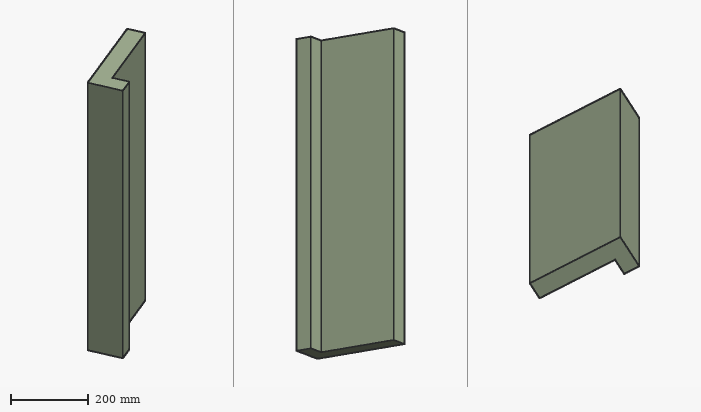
import cadquery as cq

width = 98.0
depth = 270.0
height = 833.5

long_leg_thickness = 51.0
short_leg_thickness = 45.0

section = [
    (0, 0),
    (width, 0),
    (width, short_leg_thickness),
    (long_leg_thickness, short_leg_thickness),
    (long_leg_thickness, depth),
    (0, depth),
]

result = cq.Workplane("XY").polyline(section).close().extrude(height)